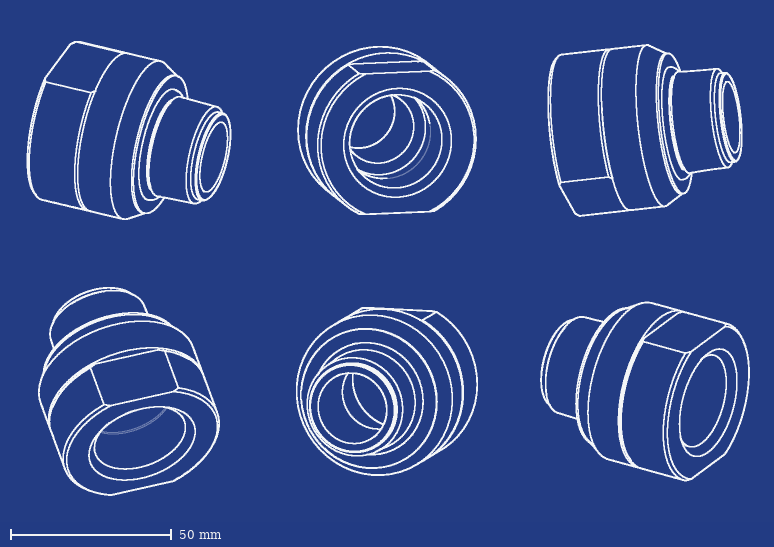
import cadquery as cq
import math

outer_diameter = 50.55
outer_radius = outer_diameter / 2
bore_radius = 22.23 / 2
total_length = 52.6

female_length = 17.33
width_across_flats = 44.45
rim_chamfer_length = 1.0
rim_chamfer_depth = 0.85

mouth_radius = 34.4 / 2
mouth_depth = 2.4
thread_taper = 1 / 16
thread_end_radius = 28.57 / 2
thread_end_depth = 16.65
relief_flare_length = 0.75
relief_flare_depth = 0.15
relief_radius = thread_end_radius + relief_flare_depth
relief_end = 24.0
seat_angle = 60
seat_length = (relief_radius - bore_radius) / math.tan(math.radians(seat_angle))
thread_start_radius = thread_end_radius + (thread_end_depth - mouth_depth) * thread_taper / 2

cone_start = 28.4
lip_start = 34.1
collar_end = 34.76
lip_radius = 43.94 / 2

neck_radius = 28.57 / 2
oring_outer_radius = 35.31 / 2
oring_end = 36.6
oring_section_radius = (oring_outer_radius - neck_radius) / 2
oring_center_radius = neck_radius + oring_section_radius
oring_center_x = oring_end - oring_section_radius
groove_floor = oring_center_x - oring_section_radius

neck_end = 36.48
male_thread_start = 37.4
male_thread_end = 49.8
male_start_radius = 31.75 / 2
male_end_radius = male_start_radius - (male_thread_end - male_thread_start) * thread_taper / 2
tip_start = 50.7
tip_radius = 27.94 / 2
tip_chamfer = 0.35


def revolve_about_x(profile):
    return profile.close().revolve(360, (0, 0, 0), (1, 0, 0))


def make_bore():
    """Flared mouth, tapered thread, relief, conical seat and through bore."""
    profile = (
        cq.Workplane("XY")
        .lineTo(0, mouth_radius)
        .lineTo(mouth_depth, thread_start_radius)
        .lineTo(thread_end_depth, thread_end_radius)
        .lineTo(thread_end_depth + relief_flare_length, relief_radius)
        .lineTo(relief_end, relief_radius)
        .lineTo(relief_end + seat_length, bore_radius)
        .lineTo(total_length, bore_radius)
        .lineTo(total_length, 0)
    )
    return revolve_about_x(profile)


def make_female_end():
    """Round blank chamfered at both ends, with two flats facing up and down."""
    rim_radius = outer_radius - rim_chamfer_depth
    profile = (
        cq.Workplane("XY")
        .lineTo(0, rim_radius)
        .lineTo(rim_chamfer_length, outer_radius)
        .lineTo(female_length - rim_chamfer_length, outer_radius)
        .lineTo(female_length, rim_radius)
        .lineTo(female_length, 0)
    )
    flats = cq.Workplane("XY").box(
        female_length, outer_diameter, width_across_flats, centered=(False, True, True)
    )
    return revolve_about_x(profile).intersect(flats)


def make_collar():
    """Collar with the O-ring groove cut into its end face, down to the neck."""
    profile = (
        cq.Workplane("XY")
        .moveTo(female_length, 0)
        .lineTo(female_length, outer_radius)
        .lineTo(cone_start, outer_radius)
        .lineTo(lip_start, lip_radius)
        .lineTo(collar_end, lip_radius)
        .lineTo(collar_end, oring_outer_radius)
        .lineTo(groove_floor, oring_outer_radius)
        .lineTo(groove_floor, 0)
    )
    return revolve_about_x(profile)


def make_male_end():
    """Neck under the O-ring, tapered thread and pilot tip."""
    profile = (
        cq.Workplane("XY")
        .moveTo(groove_floor, 0)
        .lineTo(groove_floor, neck_radius)
        .lineTo(neck_end, neck_radius)
        .lineTo(male_thread_start, male_start_radius)
        .lineTo(male_thread_end, male_end_radius)
        .lineTo(tip_start, tip_radius)
        .lineTo(total_length - tip_chamfer, tip_radius)
        .lineTo(total_length, tip_radius - tip_chamfer)
        .lineTo(total_length, 0)
    )
    return revolve_about_x(profile)


def make_oring():
    """Torus about the X axis."""
    axis_start = (-oring_center_x, -oring_center_radius, 0)
    axis_end = (1 - oring_center_x, -oring_center_radius, 0)
    section = cq.Workplane("XY").center(oring_center_x, oring_center_radius).circle(oring_section_radius)
    return section.revolve(360, axis_start, axis_end)


fitting = make_female_end().union(make_collar()).union(make_male_end()).cut(make_bore())
oring = make_oring()

result = cq.Compound.makeCompound([fitting.solids().val(), oring.val()])